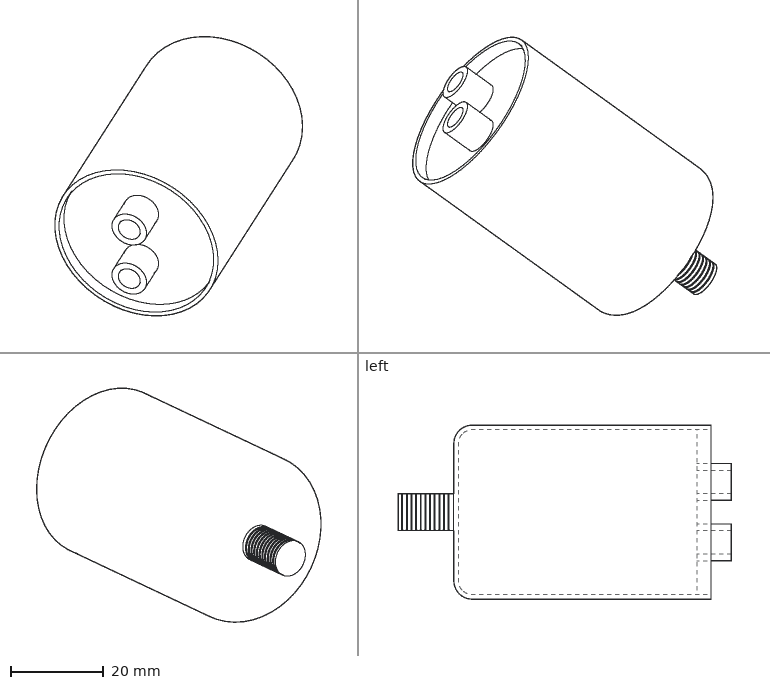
import cadquery as cq


total_length = 71.9
can_diameter = 37.6
wall = 1.0
corner_radius = 4 * wall

stud_diameter = 8.0
stud_length = 12.0
thread_turns = 12
thread_pitch = stud_length / thread_turns
groove_width = 0.2
groove_depth = 0.15

terminal_diameter = stud_diameter
terminal_bore = 5.0
terminal_spacing = 13.0
terminal_overhang = 4.4

recess_depth = 3 * wall
filling_diameter = can_diameter - 2 * wall
filling_corner_radius = corner_radius - wall

terminal_tip_y = -total_length / 2
rim_y = terminal_tip_y + terminal_overhang
deck_y = rim_y + recess_depth
stud_tip_y = total_length / 2
can_end_y = stud_tip_y - stud_length
cavity_end_y = can_end_y - wall


def cylinder(diameter, start_y, end_y):
    """Solid cylinder on the Y axis between two Y positions."""
    plane = cq.Plane(origin=(0, start_y, 0), xDir=(1, 0, 0), normal=(0, 1, 0))
    return cq.Workplane(plane).circle(diameter / 2).extrude(end_y - start_y)


def rounded_cylinder(diameter, start_y, end_y, radius):
    """Cylinder on the Y axis whose +Y edge is rounded."""
    return cylinder(diameter, start_y, end_y).faces(">Y").edges().fillet(radius)


def make_stud():
    """Stud rooted in the end wall of the can, with a ring groove at each thread pitch."""
    stud = cylinder(stud_diameter, cavity_end_y, stud_tip_y)
    root_diameter = stud_diameter - 2 * groove_depth
    for turn in range(1, thread_turns):
        groove_y = stud_tip_y - turn * thread_pitch
        ring = cylinder(stud_diameter, groove_y, groove_y + groove_width)
        core = cylinder(root_diameter, groove_y, groove_y + groove_width)
        stud = stud.cut(ring.cut(core))
    return stud


def make_can():
    """Thin-walled can, open at the -Y end, in one piece with the stud."""
    can = rounded_cylinder(can_diameter, rim_y, can_end_y, corner_radius)
    cavity = rounded_cylinder(filling_diameter, rim_y, cavity_end_y, filling_corner_radius)
    return can.cut(cavity).union(make_stud())


def make_filling():
    """Filling that takes up the can from the recessed deck to the end wall."""
    return rounded_cylinder(filling_diameter, deck_y, cavity_end_y, filling_corner_radius)


def make_terminal(center_z):
    """Tube from the terminal tip to the deck of the filling."""
    tube = cylinder(terminal_diameter, terminal_tip_y, deck_y)
    bore = cylinder(terminal_bore, terminal_tip_y, deck_y)
    return tube.cut(bore).translate((0, 0, center_z))


can = make_can().solids()
filling = make_filling().solids()
terminals = [make_terminal(side * terminal_spacing / 2).solids() for side in (-1, 1)]

result = cq.Compound.makeCompound(
    [can.val(), filling.val(), *[terminal.val() for terminal in terminals]]
)